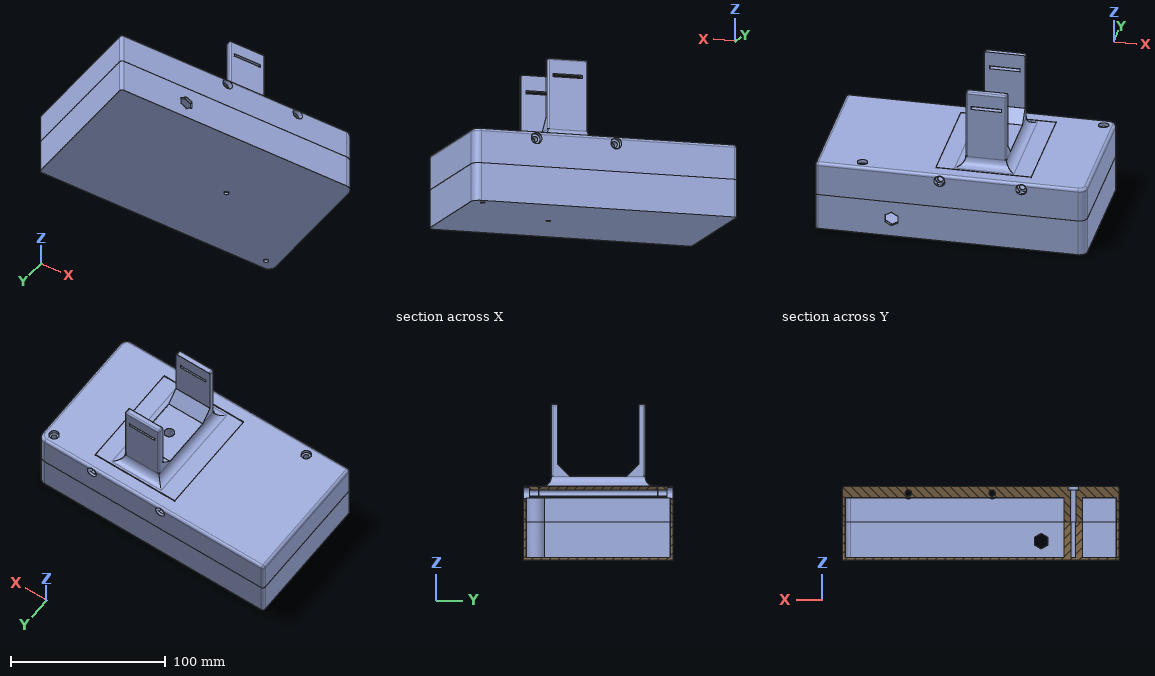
import cadquery as cq
import math

LENGTH = 179.2
WIDTH = 97.0
TOTAL_HEIGHT = 101.0
BASE_HEIGHT = 24.9
COVER_TOP = 48.0
EDGE_RADIUS = 2.0
RIGHT_CORNER_RADIUS = 5.4
WALL = 2.0

BRACKET_X = 109.3
PLATE_LENGTH = 63.0
PLATE_WIDTH = 76.3
PLATE_THICKNESS = 7.5
PLATE_CLEARANCE = 0.4
PLATE_BOTTOM = COVER_TOP - PLATE_THICKNESS
PLATE_MIDDLE = COVER_TOP - PLATE_THICKNESS / 2
PEDESTAL_TOP = 54.5
PEDESTAL_FLARE = 6.1
ARM_WIDTH = 27.0
ARM_SPAN = 61.0
ARM_THICKNESS = 4.1
ARM_EDGE_RADIUS = 1.0
GUSSET = 8.0
STRAP_SLOT_LENGTH = 20.0
STRAP_SLOT_HEIGHT = 2.0
STRAP_SLOT_Z = 90.0
CENTRE_HOLE_DIAMETER = 6.6

LID_HEAD_DIAMETER = 6.6
LID_HEAD_DEPTH = 2.5
LID_CLEARANCE_DIAMETER = 3.5
LID_PILOT_DIAMETER = 3.0
LID_SCREW_INSET = 7.5
LEFT_LID_SCREW_X = 29.7
LID_SCREW_Y = WIDTH / 2 - LID_SCREW_INSET
LID_SCREWS = [
    (LEFT_LID_SCREW_X, -LID_SCREW_Y),
    (LENGTH - LID_SCREW_INSET, LID_SCREW_Y),
]
SCREW_POST_DIAMETER = 12.5

SIDE_HEAD_DIAMETER = 7.2
SIDE_HEAD_DEPTH = 4.0
SIDE_CLEARANCE_DIAMETER = 4.0
SIDE_SCREW_OFFSET = 27.0
SIDE_SCREW_BELOW_TOP = 4.5
SIDE_SCREW_Z = COVER_TOP - SIDE_SCREW_BELOW_TOP
SIDE_SCREW_XS = [BRACKET_X - SIDE_SCREW_OFFSET, BRACKET_X + SIDE_SCREW_OFFSET]

HEX_FLATS = 8.5
HEX_X = 50.5
HEX_Z = BASE_HEIGHT / 2
FLOOR_HOLE_DIAMETER = 3.0
FLOOR_HOLES = [(112.9, 0), (170.8, 41.8)]


def enclosure_block(bottom, top):
    """Full-length block with the rounded vertical corners of the enclosure."""
    block = cq.Workplane("XY").box(LENGTH, WIDTH, top - bottom, centered=(False, True, False))
    block = block.translate((0, 0, bottom))
    block = block.edges("|Z and <X").fillet(EDGE_RADIUS)
    return block.edges("|Z and >X").fillet(RIGHT_CORNER_RADIUS)


def cavity(bottom, top):
    """Rectangular space inside the enclosure walls."""
    block = cq.Workplane("XY").box(
        LENGTH - 2 * WALL, WIDTH - 2 * WALL, top - bottom, centered=(False, True, False)
    )
    return block.translate((WALL, 0, bottom)).edges("|Z and >X").fillet(RIGHT_CORNER_RADIUS - WALL)


def upright_cylinder(x, y, diameter, bottom, top):
    """Cylinder along Z from bottom to top."""
    return cq.Workplane("XY", origin=(x, y, bottom)).circle(diameter / 2).extrude(top - bottom)


def side_cylinder(x, z, diameter, start, end):
    """Cylinder along Y from start to end."""
    return cq.Workplane("XZ", origin=(x, start, z)).circle(diameter / 2).extrude(start - end)


def side_screw_holes():
    """Full-width cross holes, shared by the cover and the plate."""
    holes = cq.Workplane("XY")
    for x in SIDE_SCREW_XS:
        holes = holes.add(side_cylinder(x, SIDE_SCREW_Z, SIDE_CLEARANCE_DIAMETER, -WIDTH / 2, WIDTH / 2))
    return holes.combine()


def make_base():
    """Open-topped tray with screw posts, floor holes and a hexagonal opening in its -Y wall."""
    base = enclosure_block(0, BASE_HEIGHT).cut(cavity(WALL, BASE_HEIGHT))
    for x, y in LID_SCREWS:
        base = base.union(upright_cylinder(x, y, SCREW_POST_DIAMETER, WALL, BASE_HEIGHT))
        base = base.cut(upright_cylinder(x, y, LID_PILOT_DIAMETER, WALL, BASE_HEIGHT))
    for x, y in FLOOR_HOLES:
        base = base.cut(upright_cylinder(x, y, FLOOR_HOLE_DIAMETER, 0, WALL))
    hexagon = (
        cq.Workplane("XZ", origin=(HEX_X, -WIDTH / 2 + WALL, HEX_Z))
        .transformed(rotate=(0, 0, 90))
        .polygon(6, HEX_FLATS / math.cos(math.pi / 6))
        .extrude(WALL)
    )
    return base.cut(hexagon)


def make_cover():
    """Hollow lid with a thick roof, an opening for the plate and counterbored screw holes."""
    cover = enclosure_block(BASE_HEIGHT, COVER_TOP).faces(">Z").edges().fillet(EDGE_RADIUS)
    cover = cover.cut(cavity(BASE_HEIGHT, PLATE_BOTTOM))
    opening = cq.Workplane("XY").box(
        PLATE_LENGTH, PLATE_WIDTH + 2 * PLATE_CLEARANCE, PLATE_THICKNESS
    )
    cover = cover.cut(opening.translate((BRACKET_X, 0, PLATE_MIDDLE)))
    for x, y in LID_SCREWS:
        cover = cover.union(upright_cylinder(x, y, SCREW_POST_DIAMETER, BASE_HEIGHT, PLATE_BOTTOM))
        cover = cover.cut(upright_cylinder(x, y, LID_CLEARANCE_DIAMETER, BASE_HEIGHT, COVER_TOP))
        cover = cover.cut(upright_cylinder(x, y, LID_HEAD_DIAMETER, COVER_TOP - LID_HEAD_DEPTH, COVER_TOP))
    cover = cover.cut(side_screw_holes())
    for x in SIDE_SCREW_XS:
        for side in (-1, 1):
            outer = side * WIDTH / 2
            inner = outer - side * SIDE_HEAD_DEPTH
            cover = cover.cut(side_cylinder(x, SIDE_SCREW_Z, SIDE_HEAD_DIAMETER, inner, outer))
    return cover


def flared_profile(plane, origin, half_width):
    """Pedestal cross-section, flaring out onto the plate by a concave arc on each side."""
    height = PEDESTAL_TOP - COVER_TOP
    foot = half_width + PEDESTAL_FLARE
    bend = PEDESTAL_FLARE * (1 - math.sqrt(0.5))
    return (
        cq.Workplane(plane, origin=origin)
        .moveTo(-foot, 0)
        .lineTo(foot, 0)
        .threePointArc((half_width + bend, bend), (half_width, PEDESTAL_FLARE))
        .lineTo(half_width, height)
        .lineTo(-half_width, height)
        .lineTo(-half_width, PEDESTAL_FLARE)
        .threePointArc((-half_width - bend, bend), (-foot, 0))
        .close()
    )


def make_pedestal():
    """Two crossing flared prisms leave a mitre on each corner of the flare."""
    origin = (BRACKET_X, 0, COVER_TOP)
    along_y = flared_profile("XZ", origin, ARM_WIDTH / 2).extrude(ARM_SPAN, both=True)
    along_x = flared_profile("YZ", origin, ARM_SPAN / 2).extrude(ARM_SPAN, both=True)
    return along_y.intersect(along_x)


def make_arm(side):
    """Upright arm with a gusset on its inner foot and a strap slot near its top."""
    outer = side * ARM_SPAN / 2
    inner = outer - side * ARM_THICKNESS
    arm = (
        cq.Workplane("YZ", origin=(BRACKET_X - ARM_WIDTH / 2, 0, 0))
        .moveTo(outer, PEDESTAL_TOP)
        .lineTo(outer, TOTAL_HEIGHT)
        .lineTo(inner, TOTAL_HEIGHT)
        .lineTo(inner, PEDESTAL_TOP + GUSSET)
        .lineTo(inner - side * GUSSET, PEDESTAL_TOP)
        .close()
        .extrude(ARM_WIDTH)
    )
    outer_face = ">Y" if side > 0 else "<Y"
    rounded = f"({outer_face} and |Z) or (>Z and |Y) or (>Z and {outer_face})"
    arm = arm.edges(rounded).fillet(ARM_EDGE_RADIUS)
    slot = cq.Workplane("XY").box(STRAP_SLOT_LENGTH, 2 * ARM_THICKNESS, STRAP_SLOT_HEIGHT)
    return arm.cut(slot.translate((BRACKET_X, (outer + inner) / 2, STRAP_SLOT_Z)))


def make_bracket():
    """Plate, flared pedestal and two arms as one piece."""
    plate = cq.Workplane("XY").box(PLATE_LENGTH, PLATE_WIDTH, PLATE_THICKNESS)
    bracket = plate.translate((BRACKET_X, 0, PLATE_MIDDLE)).union(make_pedestal())
    for side in (-1, 1):
        bracket = bracket.union(make_arm(side))
    bracket = bracket.cut(upright_cylinder(BRACKET_X, 0, CENTRE_HOLE_DIAMETER, PLATE_BOTTOM, PEDESTAL_TOP))
    return bracket.cut(side_screw_holes())


base = make_base()
cover = make_cover()
bracket = make_bracket()
result = cq.Compound.makeCompound([base.val(), cover.val(), bracket.val()])